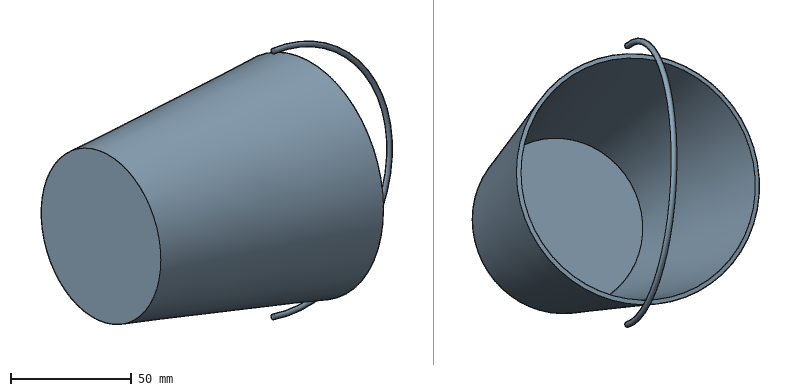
import cadquery as cq
import math

bucket_length = 110.1
base_radius = 37.7
rim_radius = 53.0
wall = 2.0

overall_length = 161.0
handle_width = 120.6
wire_diameter = 2.4
end_overrun = 5.8
tip_fillet = 0.5

wire_radius = wire_diameter / 2
bend_radius = handle_width / 2 - wire_radius
bend_centre_y = overall_length - handle_width / 2
tip_y = bend_centre_y - end_overrun
tip_z = math.sqrt(bend_radius**2 - end_overrun**2)


def make_bucket():
    """Revolve the wall section; the rim face is square to the sloping wall."""
    slope = math.atan2(rim_radius - base_radius, bucket_length)
    rim_rise = wall * math.sin(slope)
    outer_rim_y = bucket_length - rim_rise
    inner_rim_radius = rim_radius - wall * math.cos(slope)
    inner_base_radius = inner_rim_radius - (bucket_length - wall) * math.tan(slope)
    return (
        cq.Workplane("XY")
        .moveTo(0, 0)
        .lineTo(base_radius, 0)
        .lineTo(rim_radius, outer_rim_y)
        .lineTo(inner_rim_radius, bucket_length)
        .lineTo(inner_base_radius, wall)
        .lineTo(0, wall)
        .close()
        .revolve(360, (0, 0, 0), (0, 1, 0))
    )


def make_handle():
    """Sweep the wire over the open end and round both of its tips."""
    overrun_angle = math.asin(end_overrun / bend_radius)
    path = (
        cq.Workplane("YZ")
        .moveTo(tip_y, -tip_z)
        .threePointArc((bend_centre_y + bend_radius, 0), (tip_y, tip_z))
    )
    tip_plane = cq.Plane(
        origin=(0, tip_y, -tip_z),
        xDir=(1, 0, 0),
        normal=(0, math.cos(overrun_angle), -math.sin(overrun_angle)),
    )
    wire = cq.Workplane(tip_plane).circle(wire_radius).sweep(path)
    return wire.faces("%PLANE").edges().fillet(tip_fillet)


bucket = make_bucket()
handle = make_handle()
result = cq.Compound.makeCompound([bucket.val(), handle.val()])